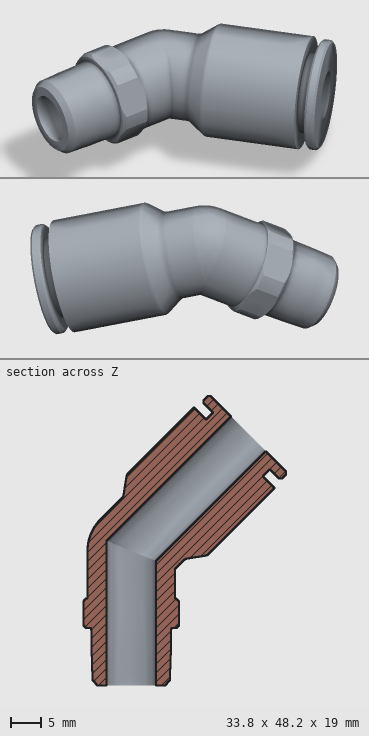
import cadquery as cq
import math

bend_angle = 45.0
bend_y = 22.4
tube_radius = 7.3
bore_radius = 4.05

thread_tip_radius = 5.65
thread_chamfer_height = 0.95
thread_small_radius = 6.45
thread_gauge_y = 4.62
thread_gauge_radius = 6.6
thread_large_radius = 6.7

hex_start_y = 9.55
hex_height = 4.95
hex_end_y = hex_start_y + hex_height
hex_across_flats = 15.0
hex_corner_radius = 8.0
hex_chamfer = 0.5

body_radius = 9.5
cone_start = 5.4
cone_end = 8.4
body_end = 24.25
cone_edge_fillet = 0.7
selection_margin = 0.5

ring_neck_radius = 6.7
flange_radius = 9.25
flange_start = 25.8
flange_end = 27.55
flange_chamfer = 0.355


def turned(points):
    """Revolve a closed (radius, distance) outline about the Y axis."""
    return cq.Workplane("XY").polyline(points).close().revolve(360, (0, 0, 0), (0, 1, 0))


def inclined(shape):
    """Move a shape turned about Y onto the inclined axis through the bend centre."""
    return shape.rotate((0, 0, 0), (0, 0, 1), -bend_angle).translate((0, bend_y, 0))


def make_thread():
    return turned([
        (0, 0),
        (thread_tip_radius, 0),
        (thread_small_radius, thread_chamfer_height),
        (thread_gauge_radius, thread_gauge_y),
        (thread_large_radius, hex_start_y),
        (0, hex_start_y),
    ])


def make_hexagon():
    across_corners = hex_across_flats / math.cos(math.radians(30))
    prism = (
        cq.Workplane("XZ", origin=(0, hex_start_y, 0))
        .polygon(6, across_corners)
        .extrude(-hex_height)
    )
    envelope = turned([
        (0, hex_start_y),
        (hex_corner_radius - hex_chamfer, hex_start_y),
        (hex_corner_radius, hex_start_y + hex_chamfer),
        (hex_corner_radius, hex_end_y - hex_chamfer),
        (hex_corner_radius - hex_chamfer, hex_end_y),
        (0, hex_end_y),
    ])
    return prism.intersect(envelope)


def make_stem():
    return turned([(0, hex_end_y), (tube_radius, hex_end_y), (tube_radius, bend_y), (0, bend_y)])


def make_elbow_wedge(radius):
    """Spherical wedge that closes the outer side of the bend between two equal cylinders."""
    return (
        cq.Workplane("XZ", origin=(0, bend_y, 0))
        .moveTo(0, -radius)
        .threePointArc((-radius, 0), (0, radius))
        .close()
        .revolve(bend_angle, (0, 0, 0), (0, -1, 0))
    )


def make_body():
    body = turned([
        (0, 0),
        (tube_radius, 0),
        (tube_radius, cone_start),
        (body_radius, cone_end),
        (body_radius, body_end),
        (0, body_end),
    ])
    cone_edges = cq.selectors.BoxSelector(
        (-body_radius, cone_start - selection_margin, -body_radius),
        (body_radius, cone_end + selection_margin, body_radius),
        boundingbox=False,
    )
    return inclined(body.edges("%CIRCLE").edges(cone_edges).fillet(cone_edge_fillet))


def make_release_ring():
    return inclined(turned([
        (0, body_end),
        (ring_neck_radius, body_end),
        (ring_neck_radius, flange_start),
        (flange_radius - flange_chamfer, flange_start),
        (flange_radius, flange_start + flange_chamfer),
        (flange_radius, flange_end - flange_chamfer),
        (flange_radius - flange_chamfer, flange_end),
        (0, flange_end),
    ]))


def make_bore():
    """Bore following both axes from end to end, with a mitred corner at the bend centre."""
    bend = math.radians(bend_angle)
    far_end = (flange_end * math.sin(bend), bend_y + flange_end * math.cos(bend))
    path = cq.Workplane("XY").polyline([(0, 0), (0, bend_y), far_end])
    return cq.Workplane("XZ").circle(bore_radius).sweep(path, transition="right")


result = (
    make_thread()
    .union(make_hexagon())
    .union(make_stem())
    .union(make_elbow_wedge(tube_radius))
    .union(make_body())
    .union(make_release_ring())
    .cut(make_bore())
)